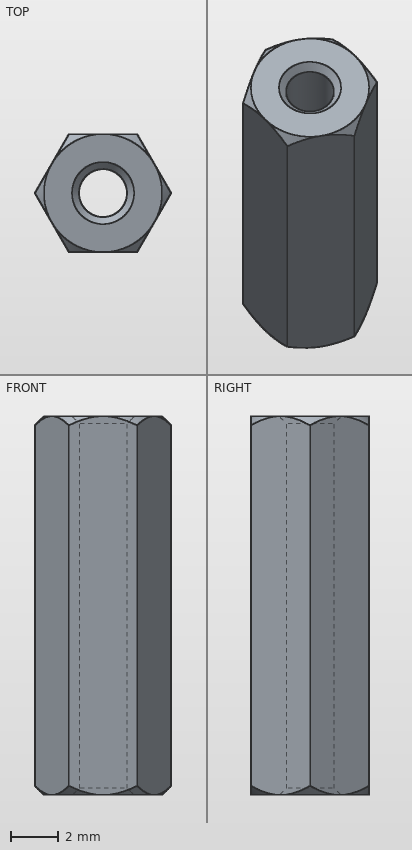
import cadquery as cq
import math

length = 16.0
across_flats = 5.0
hole_diameter = 2.02
countersink_diameter = 2.62
countersink_angle = 90.0

across_corners = across_flats / math.cos(math.radians(30))
corner_radius = across_corners / 2
end_face_radius = across_flats / 2
chamfer = corner_radius - end_face_radius


def hex_bar():
    return cq.Workplane("XY").polygon(6, across_corners).extrude(length)


def chamfered_envelope():
    """Round bar whose end chamfers cut the hexagon's corners back to a circle."""
    return cq.Workplane("XY").circle(corner_radius).extrude(length).edges().chamfer(chamfer)


def drill_countersunk_hole(body):
    """Through hole, countersunk at both ends."""
    body = body.faces(">Z").workplane().cskHole(hole_diameter, countersink_diameter, countersink_angle)
    return body.faces("<Z").workplane().cskHole(hole_diameter, countersink_diameter, countersink_angle)


result = drill_countersunk_hole(hex_bar().intersect(chamfered_envelope()))